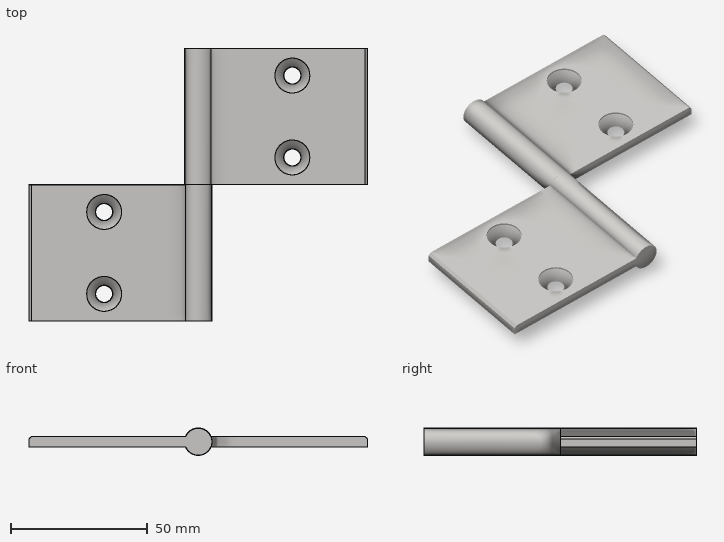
import cadquery as cq

overall_width = 124.0
overall_length = 100.0
knuckle_diameter = 10.0
leaf_thickness = 4.0
edge_chamfer = 1.0

hole_diameter = 6.2
countersink_diameter = 12.8
hole_distance_from_axis = 34.5
hole_spacing = 30.0

leaf_reach = overall_width / 2
leaf_length = overall_length / 2
leaf_top = leaf_thickness / 2
hole_radius = hole_diameter / 2
countersink_radius = countersink_diameter / 2
countersink_depth = countersink_radius - hole_radius


def make_screw_hole(y_position):
    """Cutter: a 90 degree cone ending at the underside, with a short cylindrical rim at the top."""
    cone_top = -leaf_top + countersink_depth
    return (
        cq.Workplane("XZ")
        .moveTo(0, -leaf_top)
        .lineTo(hole_radius, -leaf_top)
        .lineTo(countersink_radius, cone_top)
        .lineTo(countersink_radius, leaf_top)
        .lineTo(0, leaf_top)
        .close()
        .revolve(360, (0, 0), (0, 1))
        .translate((hole_distance_from_axis, y_position, 0))
    )


def make_leaf():
    """Right-hand leaf with its solid knuckle, running from Y = 0 to Y = leaf_length."""
    knuckle = cq.Workplane("XZ").circle(knuckle_diameter / 2).extrude(-leaf_length)
    plate = (
        cq.Workplane("XY")
        .box(leaf_reach, leaf_length, leaf_thickness, centered=(False, False, True))
        .faces(">X")
        .edges(">Z")
        .chamfer(edge_chamfer)
    )
    leaf = knuckle.union(plate)
    for side in (-1, 1):
        leaf = leaf.cut(make_screw_hole(leaf_length / 2 + side * hole_spacing / 2))
    return leaf


rear_leaf = make_leaf()
front_leaf = make_leaf().rotate((0, 0, 0), (0, 0, 1), 180)

result = cq.Compound.makeCompound([rear_leaf.val(), front_leaf.val()])